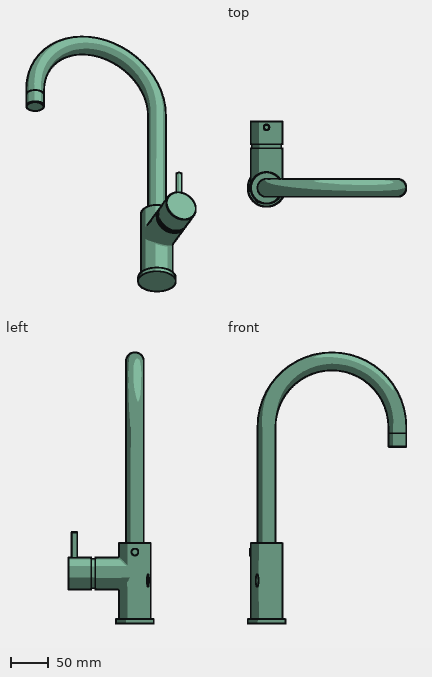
import cadquery as cq
import math

flange_radius = 25.0
flange_height = 6.5
body_radius = 21.0
body_top = 106.5
edge_chamfer = 0.7

tube_diameter = 24.0
tube_radius = tube_diameter / 2
tube_insertion = 3.5
spout_seat = body_top - tube_insertion
bend_radius = 86.0
spout_top = 357.3
bend_height = spout_top - bend_radius - tube_radius
outlet_x = 2 * bend_radius
sleeve_length = 8.2
aerator_length = 18.5
aerator_bottom_chamfer = 1.0
aerator_joint_chamfer = 0.5

arm_height = 66.0
arm_radius = body_radius
arm_length = 52.0
arm_fillet = 2.0
groove_radius = 19.5
groove_width = 5.5
knob_start = arm_length + groove_width
knob_end = 88.0

lever_radius = 4.0
lever_y = 79.5
lever_top = 120.8
lever_chamfer = 0.7

button_radius = 4.5
button_height = 94.5
button_projection = 1.0
button_reach = body_radius + button_projection
button_chamfer = 0.5

badge_width = 4.5
badge_length = 16.5
badge_height = 56.8
badge_angle = 54.5
badge_relief = 0.5
badge_reach = body_radius + badge_relief


def upright_cylinder(radius, bottom, top):
    return cq.Workplane("XY").workplane(offset=bottom).circle(radius).extrude(top - bottom)


def arm_cylinder(radius, start, end):
    plane = cq.Plane(origin=(0, start, arm_height), xDir=(1, 0, 0), normal=(0, 1, 0))
    return cq.Workplane(plane).circle(radius).extrude(end - start)


def make_body():
    """Body and side arm as one casting, with the mitre-shaped joint between them filleted."""
    body = upright_cylinder(body_radius, 0, body_top)
    casting = body.union(arm_cylinder(arm_radius, 0, arm_length))
    casting = casting.edges("%ELLIPSE").fillet(arm_fillet)
    casting = casting.faces(">Z").chamfer(edge_chamfer)
    flange = upright_cylinder(flange_radius, 0, flange_height).faces(">Z").chamfer(edge_chamfer)
    return casting.union(flange)


def make_spout():
    path = (
        cq.Workplane("XZ")
        .moveTo(0, spout_seat)
        .lineTo(0, bend_height)
        .threePointArc((bend_radius, bend_height + bend_radius), (outlet_x, bend_height))
        .lineTo(outlet_x, bend_height - sleeve_length)
    )
    tube = cq.Workplane("XY").workplane(offset=spout_seat).circle(tube_radius).sweep(path)
    aerator_top = bend_height - sleeve_length
    aerator = (
        upright_cylinder(tube_radius, aerator_top - aerator_length, aerator_top)
        .faces("<Z")
        .chamfer(aerator_bottom_chamfer)
        .faces(">Z")
        .chamfer(aerator_joint_chamfer)
        .translate((outlet_x, 0, 0))
    )
    return tube.union(aerator)


def make_knob():
    """Knob on the end of the arm, set off from it by a narrower neck."""
    neck = arm_cylinder(groove_radius, body_radius, knob_start + groove_width)
    knob = arm_cylinder(arm_radius, knob_start, knob_end).faces(">Y").chamfer(edge_chamfer)
    return neck.union(knob)


def make_lever():
    lever = upright_cylinder(lever_radius, arm_height, lever_top).faces(">Z").chamfer(lever_chamfer)
    return lever.translate((0, lever_y, 0))


def radial_plane(angle, height):
    """Plane on the Z axis facing outwards, turned by angle from -X towards -Y."""
    turn = math.radians(angle)
    outward = (-math.cos(turn), -math.sin(turn), 0)
    sideways = (math.sin(turn), -math.cos(turn), 0)
    return cq.Plane(origin=(0, 0, height), xDir=sideways, normal=outward)


def make_button():
    button = cq.Workplane(radial_plane(0, button_height)).circle(button_radius).extrude(button_reach)
    return button.faces("<X").chamfer(button_chamfer)


def make_badge():
    plane = radial_plane(badge_angle, badge_height)
    prism = cq.Workplane(plane).ellipse(badge_width / 2, badge_length / 2).extrude(flange_radius)
    return prism.intersect(upright_cylinder(badge_reach, 0, body_top))


result = make_body()
for feature in (make_spout(), make_knob(), make_lever(), make_button(), make_badge()):
    result = result.union(feature)